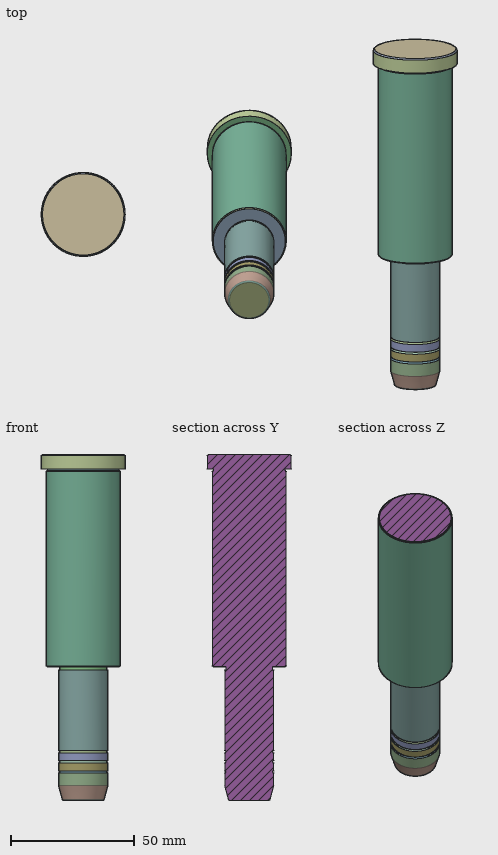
import cadquery as cq
import math

total_length = 140.0
head_diameter = 34.0
head_height = 6.0
head_chamfer = 0.5
body_diameter = 30.0
body_length = 80.0
body_chamfer = 0.4
pin_diameter = 20.0

relief_depth = 0.4
head_relief_height = 0.5
relief_edge_chamfer = 0.3
body_relief_height = 1.3

groove_count = 3
groove_radius = 0.4
lowest_groove_center = 11.6
groove_pitch = 4.0

tip_height = 6.0
tip_angle = 15.0
tip_fillet = 0.5

head_bottom = total_length - head_height
body_bottom = head_bottom - body_length


def cylinder(diameter, bottom, height):
    return cq.Workplane("XY").workplane(offset=bottom).circle(diameter / 2).extrude(height)


def ring_cut(diameter, depth, bottom, height):
    """Ring that removes the outer layer of a cylinder over a given height."""
    return cylinder(diameter, bottom, height).cut(cylinder(diameter - 2 * depth, bottom, height))


def make_head():
    return cylinder(head_diameter, head_bottom, head_height).faces(">Z").edges().chamfer(head_chamfer)


def make_body():
    shoulder_length = body_length - head_relief_height
    shoulder = cylinder(body_diameter, body_bottom, shoulder_length)
    shoulder = shoulder.faces("<Z").edges().chamfer(body_chamfer)
    shoulder = shoulder.faces(">Z").edges().chamfer(relief_edge_chamfer)
    neck = cylinder(body_diameter - 2 * relief_depth, body_bottom + shoulder_length, head_relief_height)
    return shoulder.union(neck)


def groove_cut(center_height):
    """Ring of round section, centered on the pin surface."""
    return cq.Workplane(cq.Solid.makeTorus(pin_diameter / 2, groove_radius, cq.Vector(0, 0, center_height)))


def make_pin():
    pin = cylinder(pin_diameter, tip_height, body_bottom - tip_height)
    relief_bottom = body_bottom - body_relief_height
    pin = pin.cut(ring_cut(pin_diameter, relief_depth, relief_bottom, body_relief_height))
    for index in range(groove_count):
        pin = pin.cut(groove_cut(lowest_groove_center + index * groove_pitch))
    return pin


def make_tip():
    pin_radius = pin_diameter / 2
    end_radius = pin_radius - tip_height * math.tan(math.radians(tip_angle))
    profile = [(0, 0), (end_radius, 0), (pin_radius, tip_height), (0, tip_height)]
    tip = cq.Workplane("XZ").polyline(profile).close().revolve(360, (0, 0, 0), (0, 1, 0))
    return tip.faces("<Z").edges().fillet(tip_fillet)


result = make_head().union(make_body()).union(make_pin()).union(make_tip())